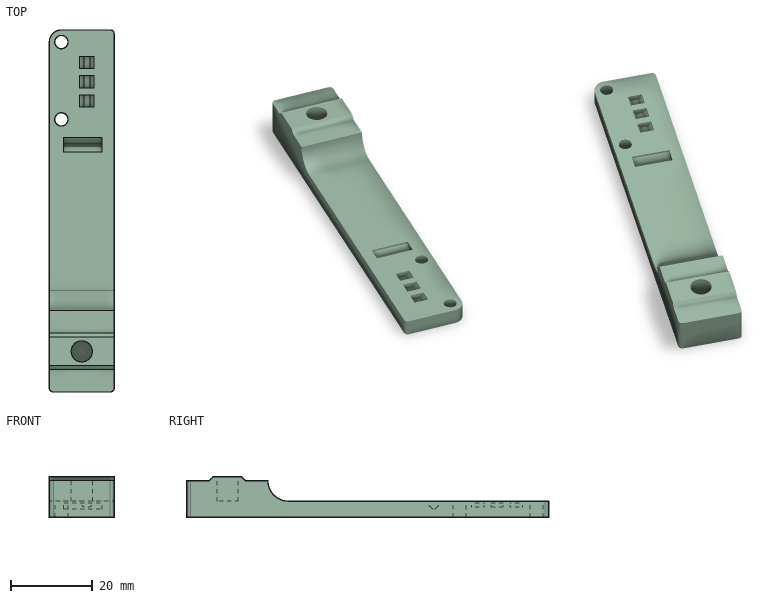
import cadquery as cq

width = 16.0
length = 89.0
arm_height = 4.0

head_height = 9.0
head_length = 20.0
root_radius = head_height - arm_height

ridge_height = 1.0
ridge_base_width = 9.0
ridge_center_y = 10.0
head_hole_diameter = 5.2
head_hole_depth = 6.0

plain_corner_radius = 1.0
screw_corner_radius = 3.0

screw_hole_diameter = 3.2
screw_hole_x = screw_corner_radius
screw_hole_spacing = 19.0
last_screw_hole_y = length - screw_corner_radius

recess_lip = 0.5

pocket_count = 3
pocket_pitch = 4.75
pocket_last_y = 81.0
pocket_center_x = 9.25
pocket_size_x = 3.5
pocket_size_y = 3.0
pocket_flank = 1.0

slot_center_x = 8.25
slot_center_y = 60.75
slot_size_x = 9.5
slot_size_y = 3.5
slot_flank = 1.5


def make_body():
    """Side profile in the YZ plane, extruded across the width."""
    ridge_min_y = ridge_center_y - ridge_base_width / 2
    ridge_max_y = ridge_center_y + ridge_base_width / 2
    ridge_top = head_height + ridge_height
    root_end_y = head_length + root_radius
    return (
        cq.Workplane("YZ")
        .moveTo(0, 0)
        .lineTo(0, head_height)
        .lineTo(ridge_min_y, head_height)
        .lineTo(ridge_min_y + ridge_height, ridge_top)
        .lineTo(ridge_max_y - ridge_height, ridge_top)
        .lineTo(ridge_max_y, head_height)
        .lineTo(head_length, head_height)
        .radiusArc((root_end_y, arm_height), -root_radius)
        .lineTo(length, arm_height)
        .lineTo(length, 0)
        .close()
        .extrude(width)
    )


def round_corners(body):
    """Round the vertical edges at both ends of the bar."""
    body = body.edges("|Z and <Y").fillet(plain_corner_radius)
    body = body.edges("|Z and >Y and <X").fillet(screw_corner_radius)
    return body.edges("|Z and >Y and >X").fillet(plain_corner_radius)


def make_hole(x, y, diameter, bottom, top):
    """Vertical cylinder spanning the heights bottom to top."""
    return cq.Workplane("XY", origin=(x, y, bottom)).circle(diameter / 2).extrude(top - bottom)


def sketch_recess(plane, center, size, flank):
    """Closed recess section: open at the arm top, vertical lips, 45 degree flanks, flat floor."""
    low_side = center - size / 2
    high_side = center + size / 2
    lip_bottom = arm_height - recess_lip
    floor = lip_bottom - flank
    return (
        plane.moveTo(low_side, arm_height)
        .lineTo(low_side, lip_bottom)
        .lineTo(low_side + flank, floor)
        .lineTo(high_side - flank, floor)
        .lineTo(high_side, lip_bottom)
        .lineTo(high_side, arm_height)
        .close()
    )


def make_pocket(center_y):
    """Small pocket whose section lies in the XZ plane."""
    plane = cq.Workplane("XZ", origin=(0, center_y, 0))
    section = sketch_recess(plane, pocket_center_x, pocket_size_x, pocket_flank)
    return section.extrude(pocket_size_y / 2, both=True)


def make_slot():
    """Slot whose section lies in the YZ plane."""
    plane = cq.Workplane("YZ", origin=(slot_center_x, 0, 0))
    section = sketch_recess(plane, slot_center_y, slot_size_y, slot_flank)
    return section.extrude(slot_size_x / 2, both=True)


result = round_corners(make_body())

ridge_top_height = head_height + ridge_height
head_hole_bottom = ridge_top_height - head_hole_depth
result = result.cut(
    make_hole(width / 2, ridge_center_y, head_hole_diameter, head_hole_bottom, ridge_top_height)
)

for screw_hole_y in (last_screw_hole_y - screw_hole_spacing, last_screw_hole_y):
    result = result.cut(make_hole(screw_hole_x, screw_hole_y, screw_hole_diameter, 0, arm_height))

for index in range(pocket_count):
    result = result.cut(make_pocket(pocket_last_y - index * pocket_pitch))

result = result.cut(make_slot())